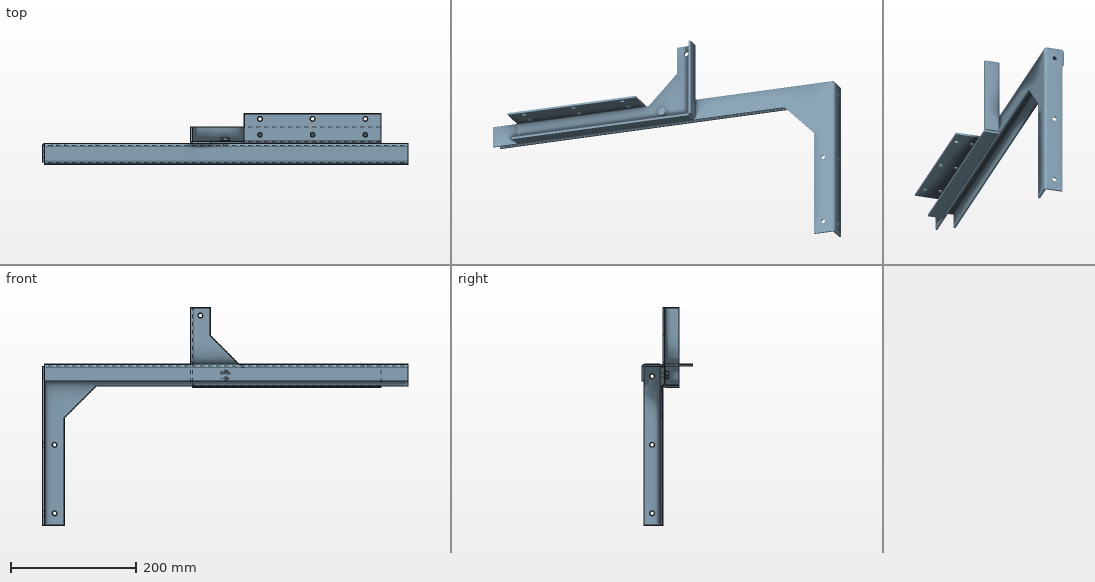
import cadquery as cq
import math

sheet = 3.04
bend_outer = 4.9
bend_inner = bend_outer - sheet
corner_gap = 0.2
overall_depth = 80.96
overall_height = 347.74
hole_diameter = 7.14
gusset = 50.8

rail_length = 584.2
rail_depth = 33.34
rail_web_height = 34.93
rail_lip_height = 26.99
leg_width = 34.93
leg_flange_depth = 30.0
leg_hole_count = 3
leg_hole_pitch = 109.54
leg_hole_from_end = 19.05
leg_hole_inset = 19.5
leg_flange_hole_inset = 17.0

arm_left = 236.4
arm_length = 304.8
arm_height = 36.8
shelf_depth = overall_depth - rail_depth
shelf_length = 219.08
flange_depth = 26.2
post_width = 31.75
post_height = 90.49
post_hole_inset = 15.88
post_hole_from_end = 12.7
shelf_hole_columns = 3
shelf_hole_rows = 2
shelf_hole_pitch = 84.14
shelf_hole_from_end = 25.4
shelf_hole_from_edge = 8.5
shelf_hole_row_pitch = 25.4

leg_bottom = post_height - overall_height
shelf_start = arm_length - shelf_length

bolt_diameter = 6.35
bolt_head_flats = 11.11
bolt_head_height = 4.2
bolt_head_chamfer_height = 0.45
washer_diameter = 15.9
washer_thickness = 1.6
bolt_x = 292.1
bolt_z = -rail_web_height / 2


def top_flange(depth, start, end):
    """Flange along X under Z = 0, reaching from its bend into the web at Y = 0 out to Y = depth."""
    profile = (
        cq.Workplane("YZ")
        .workplane(offset=start)
        .moveTo(depth, 0)
        .lineTo(bend_outer, 0)
        .radiusArc((0, -bend_outer), -bend_outer)
        .lineTo(sheet, -bend_outer)
        .radiusArc((bend_outer, -sheet), bend_inner)
        .lineTo(depth, -sheet)
        .close()
    )
    return profile.extrude(end - start)


def side_flange(depth, bottom, top):
    """Upright flange against X = 0, reaching from its bend into the web at Y = 0 out to Y = depth."""
    return top_flange(depth, bottom, top).rotate((0, 0, 0), (0, 1, 0), -90)


def web(outline):
    """Flat sheet with the given XZ outline, lying between Y = 0 and Y = sheet."""
    return cq.Workplane("XZ").polyline(outline).close().extrude(-sheet)


def drill(plane, diameter, centers):
    """Cylinders square to the plane, long enough to pass through the nearest sheet on both sides."""
    return cq.Workplane(plane).pushPoints(centers).circle(diameter / 2).extrude(2 * sheet, both=True)


def make_rail_bracket():
    """Channel-shaped rail with a hanging leg, formed with its flanges toward +Y and then mirrored."""
    body = web([
        (bend_outer, -bend_outer),
        (rail_length, -bend_outer),
        (rail_length, -rail_web_height),
        (leg_width + gusset, -rail_web_height),
        (leg_width, -rail_web_height - gusset),
        (leg_width, leg_bottom),
        (bend_outer, leg_bottom),
    ])
    body = body.union(side_flange(leg_flange_depth, leg_bottom, -sheet - corner_gap))

    rail_start = sheet + corner_gap
    half_top = top_flange(rail_depth / 2, rail_start, rail_length)
    other_half_top = half_top.mirror("XZ").translate((0, rail_depth, 0))
    lip = cq.Workplane("XY").box(
        rail_length - rail_start, sheet, rail_lip_height - bend_outer, centered=False
    ).translate((rail_start, rail_depth - sheet, -rail_lip_height))
    body = body.union(half_top).union(other_half_top).union(lip)

    lowest_hole = leg_bottom + leg_hole_from_end
    hole_heights = [lowest_hole + row * leg_hole_pitch for row in range(leg_hole_count)]
    body = body.cut(drill("XZ", hole_diameter, [(leg_hole_inset, z) for z in hole_heights[:-1]]))
    body = body.cut(drill("YZ", hole_diameter, [(leg_flange_hole_inset, z) for z in hole_heights]))
    body = body.cut(drill("XZ", bolt_diameter, [(bolt_x, bolt_z)]))
    return body.mirror("XZ")


def make_shelf_bracket():
    """Arm carrying a drilled shelf, with an upright post, formed with the post's outer face at X = 0."""
    gusset_end = post_width + gusset
    body = web([
        (bend_outer, -arm_height + bend_outer),
        (arm_length, -arm_height + bend_outer),
        (arm_length, -bend_outer),
        (gusset_end, -bend_outer),
        (post_width, gusset - bend_outer),
        (post_width, post_height),
        (bend_outer, post_height),
    ])
    body = body.union(side_flange(flange_depth, -arm_height + sheet + corner_gap, post_height))
    body = body.union(top_flange(shelf_depth, shelf_start, arm_length))
    floor = top_flange(flange_depth, sheet + corner_gap, arm_length).mirror("XY").translate((0, 0, -arm_height))
    body = body.union(floor)

    shelf_holes = [
        (
            shelf_start + shelf_hole_from_end + column * shelf_hole_pitch,
            shelf_depth - shelf_hole_from_edge - row * shelf_hole_row_pitch,
        )
        for column in range(shelf_hole_columns)
        for row in range(shelf_hole_rows)
    ]
    body = body.cut(drill("XY", hole_diameter, shelf_holes))
    post_hole = (post_hole_inset, post_height - post_hole_from_end)
    body = body.cut(drill("XZ", hole_diameter, [post_hole]))
    body = body.cut(drill("XZ", bolt_diameter, [(bolt_x - arm_left, bolt_z)]))
    return body.translate((arm_left, 0, 0))


def make_washer():
    """Flat ring between the bolt head and the shelf bracket's web."""
    ring = cq.Workplane("XZ").circle(washer_diameter / 2).circle(bolt_diameter / 2)
    return ring.extrude(-washer_thickness).translate((bolt_x, sheet, bolt_z))


def make_bolt():
    """Hex head on the washer, its outer corners chamfered, and a shank flush with the rail's web."""
    head_corners = bolt_head_flats / math.cos(math.radians(30))
    hexagon = cq.Workplane("XZ").polygon(6, head_corners).extrude(-bolt_head_height)
    corner_trim = (
        cq.Workplane("XZ")
        .circle(head_corners / 2)
        .extrude(-bolt_head_height)
        .faces(">Y")
        .chamfer(bolt_head_chamfer_height, (head_corners - bolt_head_flats) / 2)
    )
    head = hexagon.intersect(corner_trim)
    shank = cq.Workplane("XZ").circle(bolt_diameter / 2).extrude(2 * sheet + washer_thickness)
    return head.union(shank).translate((bolt_x, sheet + washer_thickness, bolt_z))


rail_bracket = make_rail_bracket()
shelf_bracket = make_shelf_bracket()
washer = make_washer()
bolt = make_bolt()

result = cq.Compound.makeCompound([
    rail_bracket.val(),
    shelf_bracket.val(),
    washer.val(),
    bolt.val(),
])